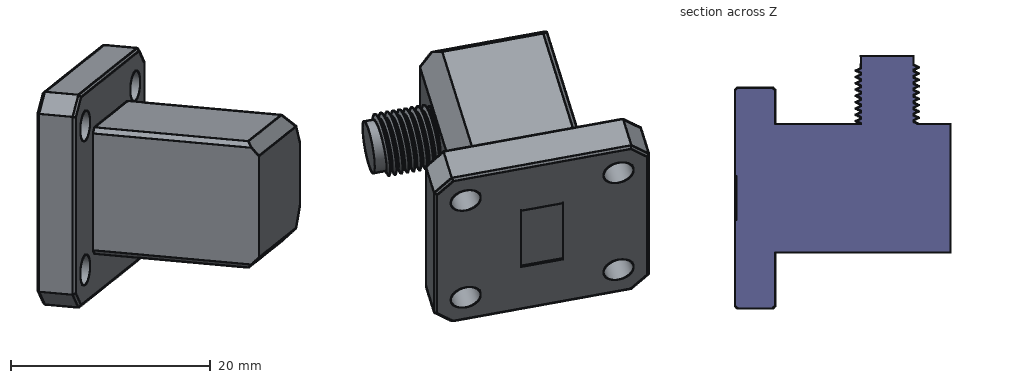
import cadquery as cq


flange_side = 22.1
flange_thickness = 4.05
flange_corner = 1.82
flange_edge = 0.25
hole_diameter = 3.08
hole_spacing_y = 15.72
hole_spacing_z = 14.95

window_width = 4.32
window_height = 8.67
window_depth = 0.15

overall_length = 21.58
body_front_y = -5.45
body_back_y = 7.43
body_half_height = 6.57
front_chamfer = 0.5
back_chamfer_y = 2.0
back_chamfer_z = 3.25
end_chamfer = 1.3

connector_x = 15.25
connector_tip_y = 25.27 - flange_side / 2
core_radius = 2.65
crest_radius = 3.18
thread_pitch = 0.63
thread_base = 0.55
thread_turns = 10
thread_start = 1.14
root_overlap = 0.05
embed_depth = 1.26


def make_flange():
    plate = cq.Workplane("YZ").rect(flange_side, flange_side).extrude(flange_thickness)
    plate = plate.edges("|X").chamfer(flange_corner)
    plate = plate.faces("<X or >X").edges().chamfer(flange_edge)
    holes = (
        cq.Workplane("YZ")
        .rect(hole_spacing_y, hole_spacing_z, forConstruction=True)
        .vertices()
        .circle(hole_diameter / 2)
        .extrude(flange_thickness)
    )
    window = cq.Workplane("YZ").rect(window_width, window_height).extrude(window_depth)
    return plate.cut(holes).cut(window)


def make_body():
    """Chamfered section along X, with the far top and bottom edges bevelled."""
    upper_half = [
        (body_front_y, body_half_height - front_chamfer),
        (body_front_y + front_chamfer, body_half_height),
        (body_back_y - back_chamfer_y, body_half_height),
        (body_back_y, body_half_height - back_chamfer_z),
    ]
    lower_half = [(y, -z) for y, z in reversed(upper_half)]
    body = (
        cq.Workplane("YZ", origin=(flange_thickness / 2, 0, 0))
        .polyline(upper_half + lower_half)
        .close()
        .extrude(overall_length - flange_thickness / 2)
    )
    bevelled_profile = (
        cq.Workplane("XZ")
        .moveTo(overall_length / 2, 0)
        .rect(overall_length, 2 * body_half_height)
        .extrude(flange_side, both=True)
        .edges("|Y and >X")
        .chamfer(end_chamfer)
    )
    return body.intersect(bevelled_profile)


def make_connector():
    """Built along Z from the tip, then turned to run from its tip into the body."""
    core_length = connector_tip_y - body_back_y + embed_depth
    core = cq.Workplane("XY").circle(core_radius).extrude(core_length)
    root_radius = core_radius - root_overlap
    helix = cq.Wire.makeHelix(thread_pitch, thread_pitch * thread_turns, root_radius)
    ridge = (
        cq.Workplane("XZ")
        .polyline([
            (root_radius, -thread_base / 2),
            (crest_radius, 0),
            (root_radius, thread_base / 2),
        ])
        .close()
        .sweep(cq.Workplane(helix), isFrenet=True)
        .translate((0, 0, thread_start))
    )
    connector = core.union(ridge)
    connector = connector.rotate((0, 0, 0), (1, 0, 0), 90)
    return connector.translate((connector_x, connector_tip_y, 0))


result = make_flange().union(make_body()).union(make_connector())